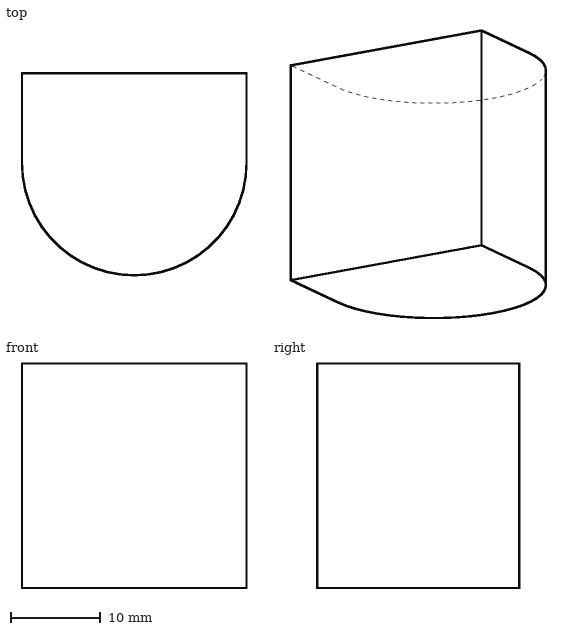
import cadquery as cq

width = 25.0
height = 25.0
straight_depth = 10.0

nose_radius = width / 2

outline = (
    cq.Workplane("XY")
    .moveTo(-nose_radius, straight_depth)
    .lineTo(-nose_radius, 0)
    .threePointArc((0, -nose_radius), (nose_radius, 0))
    .lineTo(nose_radius, straight_depth)
    .close()
)

result = outline.extrude(height)